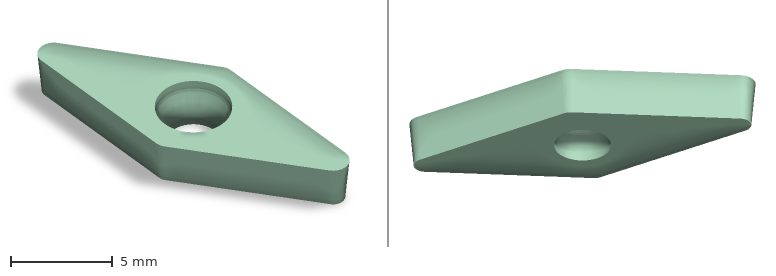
import cadquery as cq
import math

inscribed_circle = 6.36
nose_angle = 35
corner_radius = 0.8
thickness = 2.39
clearance_angle = 5

mouth_radius = 1.9
mouth_depth = 0.48
seat_radius = 1.85
seat_depth = 0.63
throat_radius = 1.4
throat_depth = 1.95


def insert_body():
    """Rounded rhombus that narrows downward on every flank."""
    side = inscribed_circle / math.sin(math.radians(nose_angle))
    half_width = inscribed_circle / 2
    slant_run = inscribed_circle / math.tan(math.radians(nose_angle))
    right = (side + slant_run) / 2
    corners = [
        (-right, -half_width),
        (side - right, -half_width),
        (right, half_width),
        (right - side, half_width),
    ]
    outline = cq.Sketch().polygon(corners + corners[:1]).vertices().fillet(corner_radius)
    return cq.Workplane("XY").placeSketch(outline).extrude(-thickness, taper=clearance_angle)


def screw_hole():
    """Straight mouth, narrow conical step, flared seat and straight throat."""
    flare_width = seat_radius - throat_radius
    flare_height = throat_depth - seat_depth
    flare_radius = (flare_width**2 + flare_height**2) / (2 * flare_width)
    half_sweep = math.asin(flare_height / flare_radius) / 2
    flare_middle = (
        throat_radius + flare_radius * (1 - math.cos(half_sweep)),
        -throat_depth + flare_radius * math.sin(half_sweep),
    )
    return (
        cq.Workplane("XZ")
        .lineTo(mouth_radius, 0)
        .lineTo(mouth_radius, -mouth_depth)
        .lineTo(seat_radius, -seat_depth)
        .threePointArc(flare_middle, (throat_radius, -throat_depth))
        .lineTo(throat_radius, -thickness)
        .lineTo(0, -thickness)
        .close()
        .revolve(360, (0, 0, 0), (0, 1, 0))
    )


result = insert_body().cut(screw_hole())